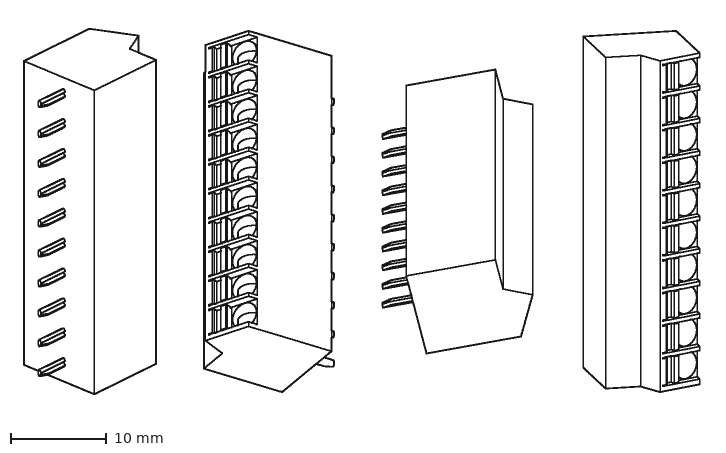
import cadquery as cq
import math

length = 35.6
width = 10.0
shoulder_height = 9.55
edge_height = 10.1
ridge_height = 12.42
ridge_x = 4.88

poles = 10
cell_height = 3.05
bottom_wall = 0.57
top_wall = 0.45
pitch = (length - cell_height - bottom_wall - top_wall) / (poles - 1)
first_cell_z = bottom_wall + cell_height / 2

pocket_depth = 0.95
pocket_clearance = 1.07
button_start = 2.75
button_end = 5.0
button_gap = 0.1

edge_bevel_t = 0.1
edge_bevel_n = 0.15
groove_start = 3.45
groove_end = 4.35
groove_depth = 0.55
groove_bevel_t = 0.2
groove_bevel_n = 0.1

hole_diameter = 3.0
hole_ledge = 0.1
hole_wall_depth = 0.93

pin_length = 3.5
pin_taper_length = 1.0
pin_fold_x = 5.6
pin_z_offset = 0.15
pin_thickness = 0.35
pin_fold_angle = 40.0
pin_arm = 0.4
pin_tip_arm = 0.15

slope = math.atan2(ridge_height - edge_height, ridge_x)
floor_start = -pocket_depth * math.tan(slope)
cell_heights = [first_cell_z + i * pitch for i in range(poles)]


def on_slope(t, n):
    """X and Y of a point t along the sloped face and n above it."""
    x = t * math.cos(slope) - n * math.sin(slope)
    y = edge_height + t * math.sin(slope) + n * math.cos(slope)
    return x, y


def slope_prism(points, height, z_middle):
    """Prism along Z whose outline is given as (t, n) points."""
    outline = [on_slope(t, n) for t, n in points]
    workplane = cq.Workplane("XY", origin=(0, 0, z_middle - height / 2))
    return workplane.polyline(outline).close().extrude(height)


def make_housing():
    step_x = ridge_x + (ridge_height - shoulder_height) * math.tan(slope)
    outline = [
        (0, 0),
        (width, 0),
        (width, shoulder_height),
        (step_x, shoulder_height),
        (ridge_x, ridge_height),
        (0, edge_height),
    ]
    return cq.Workplane("XY").polyline(outline).close().extrude(length)


def make_pocket(z):
    outline = [
        (floor_start - pocket_clearance, -pocket_depth),
        (button_end, -pocket_depth),
        (button_end, pocket_clearance),
        (floor_start - pocket_clearance, pocket_clearance),
    ]
    return slope_prism(outline, cell_height, z)


def make_button(z):
    outline = [
        (button_start, -pocket_depth),
        (button_start, -edge_bevel_n),
        (button_start + edge_bevel_t, 0),
        (groove_start, 0),
        (groove_start, -groove_depth),
        (groove_end, -groove_depth),
        (groove_end, -groove_bevel_n),
        (groove_end + groove_bevel_t, 0),
        (button_end, 0),
        (button_end, -pocket_depth),
    ]
    return slope_prism(outline, cell_height - 2 * button_gap, z)


def make_wire_hole(z):
    radius = hole_diameter / 2
    middle = (floor_start + button_start) / 2
    x, y = on_slope(middle, -pocket_depth)
    axis = cq.Vector(math.sin(slope), -math.cos(slope), 0)
    full_depth = hole_wall_depth + hole_diameter
    bore = cq.Workplane(cq.Solid.makeCylinder(radius, full_depth, cq.Vector(x, y, z), axis))
    ledge_n = -pocket_depth - hole_wall_depth
    end_n = -pocket_depth - full_depth
    slant = [
        (middle + radius, ledge_n),
        (middle + radius, end_n),
        (middle - radius, end_n),
        (middle + radius - hole_ledge, ledge_n),
    ]
    return bore.cut(slope_prism(slant, hole_diameter, z))


def make_arm_taper(z, side):
    """Wedge that shortens one arm toward the tip; side is +1 for the upper arm, -1 for the lower."""
    fold = math.radians(pin_fold_angle)
    across = cq.Vector(-math.sin(fold), 0, side * math.cos(fold))
    along = cq.Vector(math.cos(fold), 0, side * math.sin(fold))
    plane = cq.Plane(origin=(pin_fold_x, 0, z), xDir=along, normal=across)
    toward_tip = -side
    wedge = [
        (pin_arm, toward_tip * (pin_length - pin_taper_length)),
        (pin_arm, toward_tip * pin_length),
        (pin_tip_arm, toward_tip * pin_length),
    ]
    return cq.Workplane(plane).polyline(wedge).close().extrude(2 * pin_thickness, both=True)


def make_pin(z):
    fold = math.radians(pin_fold_angle)
    inner_x = pin_arm * math.cos(fold)
    inner_z = pin_arm * math.sin(fold)
    outer_x = inner_x - pin_thickness * math.sin(fold)
    outer_z = inner_z + pin_thickness * math.cos(fold)
    pin = (
        cq.Workplane("XZ", origin=(pin_fold_x, 0, z))
        .moveTo(0, 0)
        .lineTo(inner_x, inner_z)
        .lineTo(outer_x, outer_z)
        .threePointArc((-pin_thickness, 0), (outer_x, -outer_z))
        .lineTo(inner_x, -inner_z)
        .close()
        .extrude(pin_length)
    )
    return pin.cut(make_arm_taper(z, 1)).cut(make_arm_taper(z, -1))


result = make_housing()
for cell_z in cell_heights:
    result = result.cut(make_pocket(cell_z)).union(make_button(cell_z))
    result = result.cut(make_wire_hole(cell_z)).union(make_pin(cell_z + pin_z_offset))